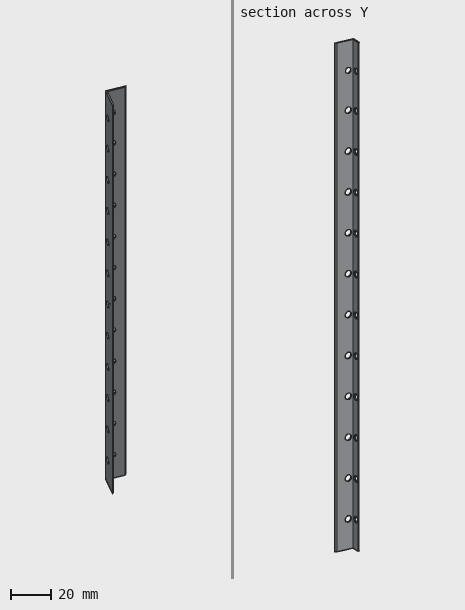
import cadquery as cq

leg_width = 11.0
length = 277.0
thickness = 0.8
tip_bevel = thickness

hole_offset = 3.5
hole_diameter = 3.5
hole_count = 11
hole_pitch = 22.25
bottom_hole_height = 16.5
top_hole_diameter = 3.2
top_hole_height = 260.65


def make_angle():
    """L-shaped bar with its outer corner on the Z axis and legs bevelled on the inside."""
    bevel_start = leg_width - tip_bevel
    profile = [
        (0, 0),
        (leg_width, 0),
        (bevel_start, thickness),
        (thickness, thickness),
        (thickness, bevel_start),
        (0, leg_width),
    ]
    return cq.Workplane("XY").polyline(profile).close().extrude(length)


def drill_both_legs(bar, height, diameter):
    """Cut one hole through each leg at the given height."""
    radius = diameter / 2
    along_x = cq.Vector(1, 0, 0)
    along_y = cq.Vector(0, 1, 0)
    front_hole = cq.Solid.makeCylinder(radius, thickness, cq.Vector(hole_offset, 0, height), along_y)
    side_hole = cq.Solid.makeCylinder(radius, thickness, cq.Vector(0, hole_offset, height), along_x)
    return bar.cut(cq.Workplane(front_hole)).cut(cq.Workplane(side_hole))


result = make_angle()
for index in range(hole_count):
    result = drill_both_legs(result, bottom_hole_height + index * hole_pitch, hole_diameter)
result = drill_both_legs(result, top_hole_height, top_hole_diameter)